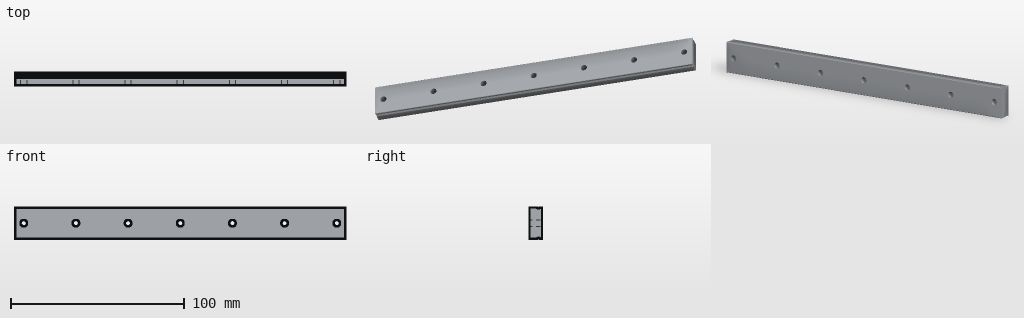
import cadquery as cq

length = 190
thickness = 7.5
height = 18.0
edge_chamfer = 0.23

groove_width = 1.9
groove_depth = 0.5
groove_from_back = 2.0

hole_count = 7
hole_pitch = 30.0
hole_diameter = 3.6


def make_bar():
    """Plain bar with its long edges lightly chamfered."""
    bar = cq.Workplane("XY").box(length, thickness, height)
    return bar.edges("|X").chamfer(edge_chamfer)


def make_groove():
    """V-shaped bar, point down, that cuts the groove in the top face."""
    centre_y = thickness / 2 - groove_from_back
    top_z = height / 2
    return (
        cq.Workplane("YZ")
        .polyline([
            (centre_y - groove_width / 2, top_z),
            (centre_y, top_z - groove_depth),
            (centre_y + groove_width / 2, top_z),
        ])
        .close()
        .extrude(length / 2, both=True)
    )


def make_holes():
    """Evenly spaced cylinders crossing the bar from front to back."""
    return (
        cq.Workplane("XZ")
        .rarray(hole_pitch, 1.9, hole_count, 1)
        .circle(hole_diameter / 2)
        .extrude(thickness, both=True)
    )


top_groove = make_groove()
bottom_groove = top_groove.mirror("XY")
result = make_bar().cut(top_groove).cut(bottom_groove).cut(make_holes())